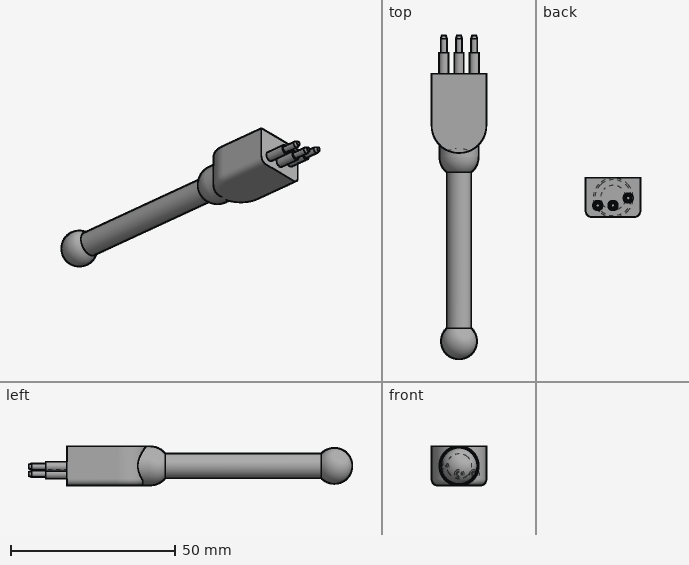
import cadquery as cq
import math

total_length = 98.6

housing_width = 16.8
housing_height = 12.0
housing_rear_y = 87.0
housing_length = 24.2
bottom_fillet = 2.0
collar_radius = housing_height / 2
dome_start_y = 61.65

nose_radius = housing_width / 2
nose_tip_y = housing_rear_y - housing_length
nose_center_y = nose_tip_y + nose_radius
axis_z = housing_height / 2

rod_radius = 7.6 / 2
ball_radius = 11.0 / 2
dome_end_y = dome_start_y - math.sqrt(collar_radius**2 - rod_radius**2)

pin_base_radius = 3.0 / 2
pin_contact_radius = 2.0 / 2
pin_tip_radius = 1.3 / 2
pin_step_y = 93.4
pin_tip_length = 1.0
pin_spacing = 4.6
upper_pin_z = 5.8
lower_pin_z = 3.6
pin_positions = [
    (-pin_spacing, upper_pin_z),
    (0, lower_pin_z),
    (pin_spacing, lower_pin_z),
]


def revolve_about_y(profile):
    """Turn a closed (radius, y) profile a full circle about the Y axis."""
    return profile.revolve(360, (0, 0, 0), (0, 1, 0))


def make_block():
    """Round-nosed block whose lower edge is rounded on the sides and nose."""
    block = (
        cq.Workplane("XY")
        .moveTo(-nose_radius, housing_rear_y)
        .lineTo(-nose_radius, nose_center_y)
        .threePointArc((0, nose_tip_y), (nose_radius, nose_center_y))
        .lineTo(nose_radius, housing_rear_y)
        .close()
        .extrude(housing_height)
    )
    return block.faces("<Z").edges("not >Y").fillet(bottom_fillet)


def make_collar():
    """Cylinder from inside the block, ending in a dome cut flat where the rod starts."""
    diagonal_offset = collar_radius * math.sqrt(0.5)
    dome_mid = (diagonal_offset, dome_start_y - diagonal_offset)
    profile = (
        cq.Workplane("XY")
        .moveTo(0, nose_center_y)
        .lineTo(collar_radius, nose_center_y)
        .lineTo(collar_radius, dome_start_y)
        .threePointArc(dome_mid, (rod_radius, dome_end_y))
        .lineTo(0, dome_end_y)
        .close()
    )
    return revolve_about_y(profile).translate((0, 0, axis_z))


def make_housing():
    return make_block().union(make_collar())


def make_rod():
    """Round rod from the collar dome to the ball, joined with the ball."""
    ball = cq.Workplane("XY").sphere(ball_radius).translate((0, ball_radius, axis_z))
    shaft = (
        cq.Workplane("XZ", origin=(0, dome_end_y, axis_z))
        .circle(rod_radius)
        .extrude(dome_end_y - ball_radius)
    )
    return shaft.union(ball)


def make_pin(x, z):
    """Stepped pin with a tapered tip, standing on the rear face of the housing."""
    profile = (
        cq.Workplane("XY")
        .moveTo(0, housing_rear_y)
        .lineTo(pin_base_radius, housing_rear_y)
        .lineTo(pin_base_radius, pin_step_y)
        .lineTo(pin_contact_radius, pin_step_y)
        .lineTo(pin_contact_radius, total_length - pin_tip_length)
        .lineTo(pin_tip_radius, total_length)
        .lineTo(0, total_length)
        .close()
    )
    return revolve_about_y(profile).translate((x, 0, z))


housing = make_housing()
rod = make_rod()
pins = [make_pin(x, z) for x, z in pin_positions]

result = cq.Compound.makeCompound([housing.val(), rod.val(), *[pin.val() for pin in pins]])